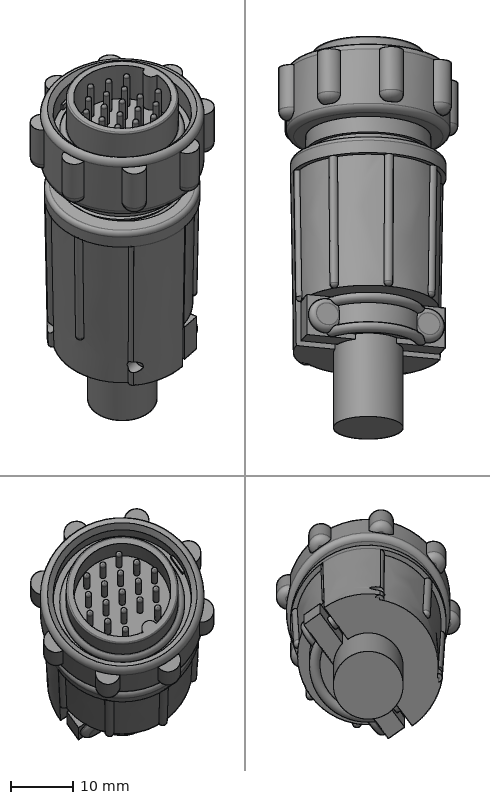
import math
import cadquery as cq

TOTAL_HEIGHT = 63.5
NUT_TOP = 61.0
NUT_BOTTOM = 49.45
NUT_FLOOR = 56.5
NECK_BOTTOM = 46.8
SHELL_TOP = 45.35
COLLAR_BOTTOM = 42.45
REAR_SHELL_BOTTOM = 20.3
FRONT_SHELL_BOTTOM = 12.8

NUT_RADIUS = 13.15
NUT_FILLET = 1.15
NUT_BORE_RADIUS = 11.1
NUT_MOUTH_CHAMFER = 0.9
LUG_COUNT = 8
LUG_RADIUS = 2.0
LUG_REACH = 14.92
LUG_TOP = 59.8
LUG_BOTTOM = 51.05
LUG_FILLET = 1.5
BAYONET_WIDTH = 3.3
BAYONET_DEPTH = 0.5
BAYONET_HEIGHT = 1.0

SLEEVE_RADIUS = 9.0
SLEEVE_BORE_RADIUS = 7.8
SLEEVE_EDGE_FILLET = 0.25
SLEEVE_FLOOR = 56.0
KEY_RADIUS = 1.3
NECK_RADIUS = 10.05
NECK_TOP = 57.5
NECK_TOP_FILLET = 0.9
PIN_RADIUS = 0.5
PIN_TOP = 62.9
PIN_TIP_FILLET = 0.45
PIN_PITCH = 3.15
PIN_ROW_PITCH = PIN_PITCH * math.sqrt(3) / 2
PIN_ROW_COUNTS = (3, 4, 5, 4, 3)

THREAD_ROOT_RADIUS = 9.4
THREAD_CREST_RADIUS = 10.25
THREAD_PITCH = 1.38
THREAD_TURNS = 2
THREAD_END = 46.6
THREAD_BASE_WIDTH = 0.9
THREAD_OVERLAP = 0.2

COLLAR_RADIUS = 12.52
COLLAR_FILLET = 0.8
SHELL_DRAFT = math.radians(0.9)
RIB_RADIUS = 0.73
RIB_COUNT = 8
PANEL_ANGLE = 45
RIB_INSET = 0.05
RIB_CENTRE_RADIUS = COLLAR_RADIUS - RIB_RADIUS - RIB_INSET
RIB_END_FILLET = 0.7
RIB_TOP_OVERLAP = 0.5
BODY_RADIUS = 11.7

CABLE_RADIUS = 5.6
SCREW_X = 8.48
SCREW_Z = 16.66
SCREW_HOLE_RADIUS = 1.15
SCREW_HOLE_FLOOR_Y = -6.5
SCREW_RADIUS = 1.15
SCREW_TIP_Y = -3.0
SCREW_HEAD_RADIUS = 2.85
SCREW_HEAD_HEIGHT = 1.25
SCREW_HEAD_FILLET = 1.0
CLAMP_LENGTH = 23.2
CLAMP_FRONT_Y = 1.15
CLAMP_BACK_Y = 4.4
CLAMP_HEIGHT = 6.8
ARCH_RADIUS = 8.6
ARCH_BEAD_RADIUS = 0.85
ARCH_BEAD_INSET = 0.05


def cylinder(radius, bottom, top):
    return cq.Workplane("XY").workplane(offset=bottom).circle(radius).extrude(top - bottom)


def drafted_radius(top_radius, z):
    """Radius at height z of a shell surface that narrows downward from the collar."""
    return top_radius - (COLLAR_BOTTOM - z) * math.tan(SHELL_DRAFT)


def drafted_sector(top_radius, bottom, start_angle, sweep):
    """Drafted solid sector about Z, reaching from the collar down to the given height."""
    return (
        cq.Workplane("XZ")
        .moveTo(0, bottom)
        .lineTo(drafted_radius(top_radius, bottom), bottom)
        .lineTo(top_radius, COLLAR_BOTTOM)
        .lineTo(0, COLLAR_BOTTOM)
        .close()
        .revolve(sweep, (0, 0, 0), (0, 1, 0))
        .rotate((0, 0, 0), (0, 0, 1), start_angle)
    )


def make_nut():
    nut = cylinder(NUT_RADIUS, NUT_BOTTOM, NUT_TOP).faces("<Z or >Z").edges().fillet(NUT_FILLET)
    lug = cylinder(LUG_RADIUS, LUG_BOTTOM, LUG_TOP).faces("<Z").edges().fillet(LUG_FILLET)
    lug = lug.translate((LUG_REACH - LUG_RADIUS, 0, 0))
    for i in range(LUG_COUNT):
        nut = nut.union(lug.rotate((0, 0, 0), (0, 0, 1), i * 360 / LUG_COUNT))
    bore = cylinder(NUT_BORE_RADIUS, NUT_FLOOR, NUT_TOP)
    mouth = cq.Workplane(
        cq.Solid.makeCone(
            NUT_BORE_RADIUS,
            NUT_BORE_RADIUS + NUT_MOUTH_CHAMFER,
            NUT_MOUTH_CHAMFER,
            cq.Vector(0, 0, NUT_TOP - NUT_MOUTH_CHAMFER),
        )
    )
    nut = nut.cut(bore).cut(mouth)
    for side in (-1, 1):
        bayonet = cq.Workplane("XY").box(2 * BAYONET_DEPTH, BAYONET_WIDTH, BAYONET_HEIGHT)
        bayonet_centre = (side * NUT_BORE_RADIUS, 0, NUT_FLOOR + BAYONET_HEIGHT / 2)
        nut = nut.union(bayonet.translate(bayonet_centre))
    return nut


def make_insert():
    sleeve = cylinder(SLEEVE_RADIUS, NUT_BOTTOM, TOTAL_HEIGHT).faces(">Z").edges().fillet(SLEEVE_EDGE_FILLET)
    neck = cylinder(NECK_RADIUS, NECK_BOTTOM, NECK_TOP).faces(">Z").edges().fillet(NECK_TOP_FILLET)
    bore = cylinder(SLEEVE_BORE_RADIUS, SLEEVE_FLOOR, TOTAL_HEIGHT)
    key = cylinder(KEY_RADIUS, SLEEVE_FLOOR, TOTAL_HEIGHT).translate((0, SLEEVE_BORE_RADIUS, 0))
    return neck.union(sleeve).cut(bore.cut(key))


def pin_positions():
    """Hexagonal pin field; the middle place of the row next to the key is empty."""
    middle_row = len(PIN_ROW_COUNTS) // 2
    points = []
    for row, count in enumerate(PIN_ROW_COUNTS):
        y = (middle_row - row) * PIN_ROW_PITCH
        for i in range(count):
            x = (i - (count - 1) / 2) * PIN_PITCH
            beside_key = row == 0 and x == 0
            if not beside_key:
                points.append((x, y))
    return points


def make_pins():
    pin_length = PIN_TOP - SLEEVE_FLOOR
    return (
        cq.Workplane("XY")
        .workplane(offset=SLEEVE_FLOOR)
        .pushPoints(pin_positions())
        .circle(PIN_RADIUS)
        .extrude(pin_length)
        .faces(">Z")
        .edges()
        .fillet(PIN_TIP_FILLET)
    )


def make_thread():
    """Threaded stub between the grip shell and the neck, ridge as a helical sweep."""
    root = cylinder(THREAD_ROOT_RADIUS, COLLAR_BOTTOM, NECK_BOTTOM)
    height = THREAD_TURNS * THREAD_PITCH
    start = THREAD_END - height
    path = cq.Wire.makeHelix(THREAD_PITCH, height, THREAD_ROOT_RADIUS)
    inner = THREAD_ROOT_RADIUS - THREAD_OVERLAP
    ridge = (
        cq.Workplane("XZ")
        .moveTo(inner, -THREAD_BASE_WIDTH / 2)
        .lineTo(THREAD_CREST_RADIUS, 0)
        .lineTo(inner, THREAD_BASE_WIDTH / 2)
        .close()
        .sweep(cq.Workplane(path), isFrenet=True)
    )
    return root.union(ridge.translate((0, 0, start)))


def make_rib(angle, bottom, rounded_end):
    """Half-sunk round rib that follows the draft; its axis lies in a radial plane."""
    rib = cylinder(RIB_RADIUS, bottom, COLLAR_BOTTOM + RIB_TOP_OVERLAP)
    if rounded_end:
        rib = rib.faces("<Z").edges().fillet(RIB_END_FILLET)
    pivot = (0, 0, COLLAR_BOTTOM)
    rib = rib.rotate(pivot, (0, 1, COLLAR_BOTTOM), math.degrees(SHELL_DRAFT))
    return rib.translate((RIB_CENTRE_RADIUS, 0, 0)).rotate((0, 0, 0), (0, 0, 1), angle)


def make_shell():
    shell = cylinder(COLLAR_RADIUS, COLLAR_BOTTOM, SHELL_TOP).faces(">Z").edges().fillet(COLLAR_FILLET)
    rear_gap = (
        cq.Workplane("XY")
        .box(2 * COLLAR_RADIUS, COLLAR_RADIUS, REAR_SHELL_BOTTOM, centered=(True, False, False))
    )
    shell = shell.union(drafted_sector(BODY_RADIUS, FRONT_SHELL_BOTTOM, 0, 360).cut(rear_gap))
    for start_angle in (180, 360 - PANEL_ANGLE):
        shell = shell.union(drafted_sector(COLLAR_RADIUS, FRONT_SHELL_BOTTOM, start_angle, PANEL_ANGLE))
    for i in range(RIB_COUNT):
        angle = i * 360 / RIB_COUNT
        edges_panel = angle in (180 + PANEL_ANGLE, 360 - PANEL_ANGLE)
        bottom = FRONT_SHELL_BOTTOM if edges_panel else REAR_SHELL_BOTTOM
        shell = shell.union(make_rib(angle, bottom, not edges_panel))
    for side in (-1, 1):
        hole = (
            cq.Workplane("XZ", origin=(side * SCREW_X, SCREW_HOLE_FLOOR_Y, SCREW_Z))
            .circle(SCREW_HOLE_RADIUS)
            .extrude(COLLAR_RADIUS)
        )
        shell = shell.cut(hole)
    return shell


def make_clamp():
    """Bar across the cable, arched over it between two round beads and held by two screws."""
    bar_depth = CLAMP_BACK_Y - CLAMP_FRONT_Y
    bar_centre_y = (CLAMP_BACK_Y + CLAMP_FRONT_Y) / 2
    clamp = cq.Workplane("XY").box(CLAMP_LENGTH, bar_depth, CLAMP_HEIGHT)
    clamp = clamp.translate((0, bar_centre_y, SCREW_Z))
    bead_offset = CLAMP_HEIGHT / 2 - ARCH_BEAD_RADIUS - ARCH_BEAD_INSET
    arch = cylinder(ARCH_RADIUS, SCREW_Z - bead_offset, SCREW_Z + bead_offset)
    for side in (-1, 1):
        bead_centre = cq.Vector(0, 0, SCREW_Z + side * bead_offset)
        bead = cq.Solid.makeTorus(ARCH_RADIUS, ARCH_BEAD_RADIUS, bead_centre)
        arch = arch.union(cq.Workplane(bead))
    behind_bar = (
        cq.Workplane("XY")
        .box(CLAMP_LENGTH, CLAMP_LENGTH, 2 * CLAMP_HEIGHT, centered=(True, False, True))
        .translate((0, bar_centre_y, SCREW_Z))
    )
    clamp = clamp.union(arch.intersect(behind_bar))
    for side in (-1, 1):
        seat = cq.Workplane("XZ", origin=(side * SCREW_X, CLAMP_BACK_Y, SCREW_Z))
        shank = seat.circle(SCREW_RADIUS).extrude(CLAMP_BACK_Y - SCREW_TIP_Y)
        head = seat.circle(SCREW_HEAD_RADIUS).extrude(-SCREW_HEAD_HEIGHT)
        head = head.faces(">Y").edges().fillet(SCREW_HEAD_FILLET)
        clamp = clamp.union(shank).union(head)
    return clamp


cable = cylinder(CABLE_RADIUS, 0, COLLAR_BOTTOM)
connector = make_nut().union(make_insert()).union(make_pins()).union(make_thread())
connector = connector.union(make_shell()).union(cable).union(make_clamp())
result = cq.Workplane(connector.solids().val())